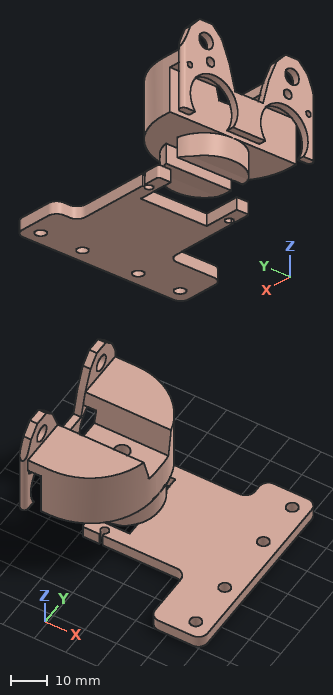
import cadquery as cq

overall_length = 62.3
overall_height = 45.25

plate_thickness = 3.9
plate_width = 60.0
head_length = 16.75
head_corner_radius = 3.0
stem_start_x = 12.4
stem_width = 32.65
stem_center_y = 5.55
stem_tip_radius = 0.59
mouth_width = 23.7
mouth_depth = 12.4
arm_slit_x = 18.45
arm_slit_width = 1.0
arm_hole_diameter = 2.5
arm_hole_inset = 1.95
bolt_hole_diameter = 3.5
bolt_hole_x = overall_length - 5.0
bolt_hole_offsets = (10.05, 25.05)

shoulder_z = 35.35
valley_z = 27.35
shoulder_half_gap = 7.1
valley_half_gap = 5.0

face_thickness = 2.5
face_bottom_z = 16.0
ear_center_y = 15.45
ear_half_width = ear_center_y - shoulder_half_gap
ear_bevel_half_width = 5.6
ear_bevel_z = 41.95
ear_tip_half_width = 2.3
face_width = 2 * (ear_center_y + ear_half_width)
pivot_hole_diameter = 4.9
pivot_hole_z = 39.25
middle_hole_diameter = 2.8
middle_hole_y = 13.9
middle_hole_z = 33.3
small_hole_diameter = 1.75
small_hole_y = 21.3
small_hole_z = 29.85
arch_diameter = 17.0
arch_y = 12.65
arch_z = 21.1

block_start_x = 6.6
block_end_x = 30.5
block_width = 45.5
block_bottom_z = 17.45
block_corner_radius = 21.0
bridge_bottom_z = 31.2
block_hole_diameter = 4.6
boss_width = block_end_x - block_start_x
boss_center_x = (block_start_x + block_end_x) / 2
boss_bottom_z = 10.5
boss_corner_radius = 11.6
boss_slot_width = block_hole_diameter
slot_bevel_width = 4.1
slot_bevel_height = 0.8


def box_between(x_range, y_range, z_range):
    """Box that spans the given (low, high) range along each axis."""
    lows, highs = zip(x_range, y_range, z_range)
    sizes = [high - low for low, high in zip(lows, highs)]
    return cq.Workplane("XY").box(*sizes, centered=False).translate(lows)


def centered_range(center, width):
    return (center - width / 2, center + width / 2)


def cross_hole(y, z, diameter):
    """Cylinder along X that passes through the face plate."""
    return cq.Workplane("YZ").center(y, z).circle(diameter / 2).extrude(face_thickness)


def make_base_plate():
    plate_z = (0, plate_thickness)
    head_start_x = overall_length - head_length
    stem_y = centered_range(stem_center_y, stem_width)

    head = box_between((head_start_x, overall_length), centered_range(0, plate_width), plate_z)
    head = head.edges("|Z").fillet(head_corner_radius)
    stem_end_x = overall_length - head_length / 2
    stem = box_between((stem_start_x, stem_end_x), stem_y, plate_z)
    stem = stem.edges("|Z and <X").fillet(stem_tip_radius)
    plate = head.union(stem)
    for y in stem_y:
        corner = cq.selectors.NearestToPointSelector((head_start_x, y, plate_thickness / 2))
        plate = plate.edges("|Z").edges(corner).fillet(head_corner_radius)

    mouth_x = (stem_start_x, stem_start_x + mouth_depth)
    plate = plate.cut(box_between(mouth_x, centered_range(stem_center_y, mouth_width), plate_z))

    slit_x = centered_range(arm_slit_x, arm_slit_width)
    for side in (-1, 1):
        outer_y = stem_center_y + side * stem_width / 2
        hole_y = outer_y - side * arm_hole_inset
        slit = box_between(slit_x, (min(outer_y, hole_y), max(outer_y, hole_y)), plate_z)
        hole = cq.Workplane("XY").center(arm_slit_x, hole_y).circle(arm_hole_diameter / 2)
        plate = plate.cut(slit).cut(hole.extrude(plate_thickness))

    bolt_points = [(bolt_hole_x, side * y) for side in (-1, 1) for y in bolt_hole_offsets]
    bolt_holes = cq.Workplane("XY").pushPoints(bolt_points).circle(bolt_hole_diameter / 2)
    return plate.cut(bolt_holes.extrude(plate_thickness))


def make_face_plate():
    slab = (
        cq.Workplane("XY", origin=(face_thickness / 2, 0, face_bottom_z))
        .slot2D(face_width, face_thickness, 90)
        .extrude(overall_height - face_bottom_z)
    )

    half_outline = [
        (valley_half_gap, valley_z),
        (shoulder_half_gap, shoulder_z),
        (ear_center_y - ear_bevel_half_width, ear_bevel_z),
        (ear_center_y - ear_tip_half_width, overall_height),
        (ear_center_y + ear_tip_half_width, overall_height),
        (ear_center_y + ear_bevel_half_width, ear_bevel_z),
        (face_width / 2, shoulder_z),
        (face_width / 2, face_bottom_z),
    ]
    mirrored = [(-y, z) for y, z in reversed(half_outline)]
    outline = cq.Workplane("YZ").polyline(half_outline + mirrored).close()
    face_plate = slab.intersect(outline.extrude(face_thickness))

    for side in (-1, 1):
        face_plate = face_plate.cut(cross_hole(side * ear_center_y, pivot_hole_z, pivot_hole_diameter))
        face_plate = face_plate.cut(cross_hole(side * middle_hole_y, middle_hole_z, middle_hole_diameter))
        face_plate = face_plate.cut(cross_hole(side * small_hole_y, small_hole_z, small_hole_diameter))
        face_plate = face_plate.cut(cross_hole(side * arch_y, arch_z, arch_diameter))
    return face_plate


def make_boss():
    boss = box_between(
        (block_start_x, block_end_x),
        centered_range(0, boss_width),
        (boss_bottom_z, block_bottom_z),
    )
    boss = boss.edges("|Z").fillet(boss_corner_radius)

    half_slot = boss_slot_width / 2
    half_mouth = half_slot + slot_bevel_width
    bevel_z = boss_bottom_z + slot_bevel_height
    slot = (
        cq.Workplane("XZ")
        .polyline([
            (boss_center_x - half_mouth, boss_bottom_z),
            (boss_center_x - half_slot, bevel_z),
            (boss_center_x - half_slot, block_bottom_z),
            (boss_center_x + half_slot, block_bottom_z),
            (boss_center_x + half_slot, bevel_z),
            (boss_center_x + half_mouth, boss_bottom_z),
        ])
        .close()
        .extrude(boss_width / 2, both=True)
    )
    return boss.cut(slot)


def make_block():
    block_y = centered_range(0, block_width)
    block = box_between((block_start_x, block_end_x), block_y, (block_bottom_z, shoulder_z))
    block = block.edges("|Z and >X").fillet(block_corner_radius)
    bridge = box_between((face_thickness, block_start_x), block_y, (bridge_bottom_z, shoulder_z))
    block = block.union(bridge).union(make_boss())

    groove = (
        cq.Workplane("YZ")
        .polyline([
            (-valley_half_gap, valley_z),
            (valley_half_gap, valley_z),
            (shoulder_half_gap, shoulder_z),
            (-shoulder_half_gap, shoulder_z),
        ])
        .close()
        .extrude(block_end_x)
    )
    hole = cq.Workplane("XY").center(boss_center_x, 0).circle(block_hole_diameter / 2)
    return block.cut(groove).cut(hole.extrude(shoulder_z))


base_plate = make_base_plate()
face_plate = make_face_plate()
block = make_block()

result = cq.Compound.makeCompound([body.solids().val() for body in (base_plate, face_plate, block)])